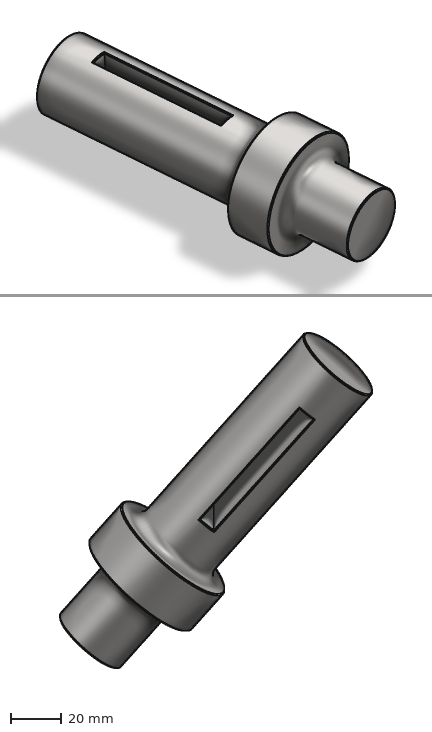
import cadquery as cq

total_length = 153.31
body_diameter = 36.0
flange_diameter = 53.98
stub_diameter = 32.0

flange_start = 101.75
flange_width = 20.4
root_fillet = 4.76
corner_chamfer = 0.5

slot_width = 7.1
slot_edge_chamfer = 0.5
slot_start_top = 17.7
slot_start_bottom = 19.8
slot_end = 81.0

body_end_x = -total_length / 2
stub_end_x = total_length / 2
flange_near_x = body_end_x + flange_start
flange_far_x = flange_near_x + flange_width
body_radius = body_diameter / 2
flange_radius = flange_diameter / 2
stub_radius = stub_diameter / 2


def make_turned_shaft():
    """Revolve the half profile, with its chamfers and root fillets, about X."""
    profile = (
        cq.Workplane("XY")
        .moveTo(body_end_x, 0)
        .lineTo(body_end_x, body_radius - corner_chamfer)
        .lineTo(body_end_x + corner_chamfer, body_radius)
        .lineTo(flange_near_x - root_fillet, body_radius)
        .radiusArc((flange_near_x, body_radius + root_fillet), -root_fillet)
        .lineTo(flange_near_x, flange_radius - corner_chamfer)
        .lineTo(flange_near_x + corner_chamfer, flange_radius)
        .lineTo(flange_far_x - corner_chamfer, flange_radius)
        .lineTo(flange_far_x, flange_radius - corner_chamfer)
        .lineTo(flange_far_x, stub_radius + root_fillet)
        .radiusArc((flange_far_x + root_fillet, stub_radius), -root_fillet)
        .lineTo(stub_end_x - corner_chamfer, stub_radius)
        .lineTo(stub_end_x, stub_radius - corner_chamfer)
        .lineTo(stub_end_x, 0)
        .close()
    )
    return profile.revolve(360, (0, 0, 0), (1, 0, 0))


def make_slot_cutter():
    """Through slot whose leaning end wall is defined at the body's top and bottom."""
    end_x = body_end_x + slot_end
    outline = [
        (body_end_x + slot_start_top, body_radius),
        (end_x, body_radius),
        (end_x, -body_radius),
        (body_end_x + slot_start_bottom, -body_radius),
    ]
    return cq.Workplane("XZ").polyline(outline).close().extrude(slot_width / 2, both=True)


def chamfer_slot_mouth(part, side):
    """Chamfer the slot edges on the body surface; side is +1 for the top, -1 for the bottom."""
    around_mouth = cq.selectors.BoxSelector(
        (body_end_x, -slot_width, side * body_radius / 2),
        (flange_near_x, slot_width, side * body_radius),
    )
    return part.edges(around_mouth).chamfer(slot_edge_chamfer)


result = make_turned_shaft().cut(make_slot_cutter())
for mouth_side in (1, -1):
    result = chamfer_slot_mouth(result, mouth_side)